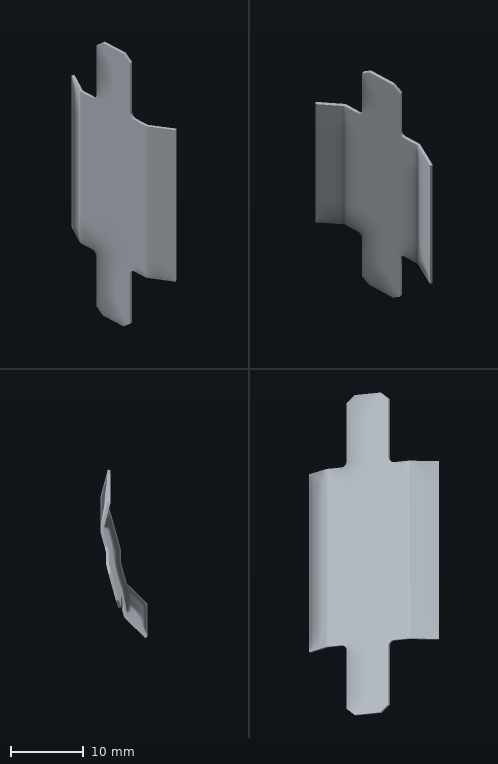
import cadquery as cq
import math

total_height = 45.0
total_width = 19.7
body_height = 25.0
flat_width = 12.05
tab_width = 6.4
tab_chamfer_width = 1.2
tab_chamfer_height = 1.0
tab_root_radius = 0.8
thickness = 0.4
inner_bend_radius = 0.5
wing_angle = math.radians(30)

outer_bend_radius = inner_bend_radius + thickness
bend_center_x = flat_width / 2


def bend_point(radius, angle):
    """Point on the right-hand bend, with the angle measured from the flat."""
    return (
        bend_center_x + radius * math.sin(angle),
        outer_bend_radius - radius * math.cos(angle),
    )


def make_wing_half():
    """Right half of the body: flat web, bend and wing, constant along Z."""
    outer_end = bend_point(outer_bend_radius, wing_angle)
    inner_end = bend_point(inner_bend_radius, wing_angle)
    wing_rise = (total_width / 2 - outer_end[0]) * math.tan(wing_angle)
    outer_tip = (total_width / 2, outer_end[1] + wing_rise)
    inner_tip = (
        outer_tip[0] - thickness * math.sin(wing_angle),
        outer_tip[1] + thickness * math.cos(wing_angle),
    )
    return (
        cq.Workplane("XY")
        .workplane(offset=-body_height / 2)
        .moveTo(0, 0)
        .lineTo(bend_center_x, 0)
        .threePointArc(bend_point(outer_bend_radius, wing_angle / 2), outer_end)
        .lineTo(*outer_tip)
        .lineTo(*inner_tip)
        .lineTo(*inner_end)
        .threePointArc(bend_point(inner_bend_radius, wing_angle / 2), (bend_center_x, thickness))
        .lineTo(0, thickness)
        .close()
        .extrude(body_height)
    )


def make_flat_web():
    """Flat cross-shaped web with chamfered tab ends and rounded tab roots."""
    web = cq.Workplane("XY").box(flat_width, thickness, body_height)
    side = tab_width / 2
    end = total_height / 2
    end_side = side - tab_chamfer_width
    shoulder = end - tab_chamfer_height
    tabs = (
        cq.Workplane("XZ")
        .polyline([
            (end_side, end),
            (side, shoulder),
            (side, -shoulder),
            (end_side, -end),
            (-end_side, -end),
            (-side, -shoulder),
            (-side, shoulder),
            (-end_side, end),
        ])
        .close()
        .extrude(thickness / 2, both=True)
    )
    root_edges = cq.selectors.BoxSelector(
        (-tab_width / 2 - tab_root_radius, -thickness, -body_height / 2 - tab_root_radius),
        (tab_width / 2 + tab_root_radius, thickness, body_height / 2 + tab_root_radius),
    )
    cross = web.union(tabs).edges("|Y").edges(root_edges).fillet(tab_root_radius)
    return cross.translate((0, thickness / 2, 0))


right_half = make_wing_half()
left_half = right_half.mirror("YZ")
result = make_flat_web().union(right_half).union(left_half).clean()